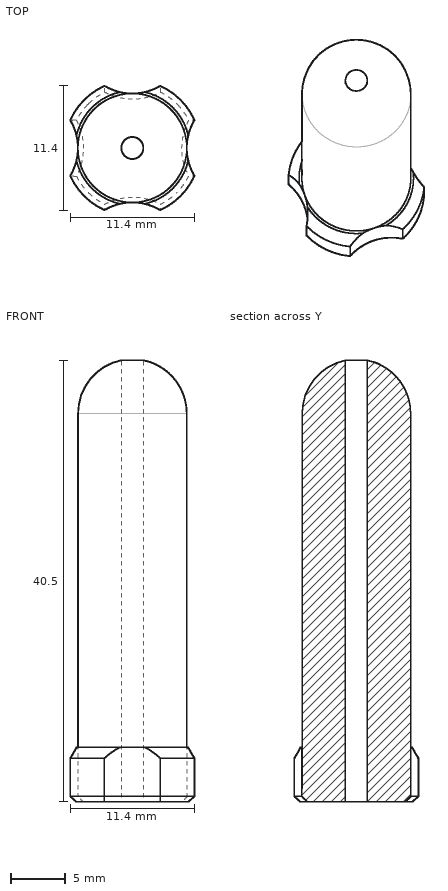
import cadquery as cq
import math

total_height = 40.52
body_diameter = 10.0
vent_diameter = 2.0

collar_diameter = 12.5
collar_height = 5.0
collar_top_chamfer = 1.0
collar_bottom_chamfer = 0.5

scallop_count = 4
scallop_radius = 5.0

body_radius = body_diameter / 2
vent_radius = vent_diameter / 2
collar_radius = collar_diameter / 2
vent_rim_rise = math.sqrt(body_radius**2 - vent_radius**2)
dome_base_height = total_height - vent_rim_rise
scallop_center_distance = body_radius + scallop_radius


def make_collar():
    """Round grip collar with a chamfered top, four scallops and a chamfered foot."""
    collar = cq.Workplane("XY").circle(collar_radius).extrude(collar_height)
    collar = collar.faces(">Z").chamfer(collar_top_chamfer)
    scallops = (
        cq.Workplane("XY")
        .polarArray(scallop_center_distance, 0, 360, scallop_count)
        .circle(scallop_radius)
        .extrude(collar_height)
    )
    collar = collar.cut(scallops)
    return collar.faces("<Z").chamfer(collar_bottom_chamfer)


def make_body():
    """Cylinder above the collar, closed by a hemispherical dome."""
    return (
        cq.Workplane("XZ")
        .moveTo(0, collar_height)
        .lineTo(body_radius, collar_height)
        .lineTo(body_radius, dome_base_height)
        .radiusArc((0, dome_base_height + body_radius), -body_radius)
        .close()
        .revolve(360, (0, 0, 0), (0, 1, 0))
    )


def make_vent():
    """Straight hole along the whole axis."""
    return cq.Workplane("XY").circle(vent_radius).extrude(dome_base_height + body_radius)


result = make_collar().union(make_body()).cut(make_vent())